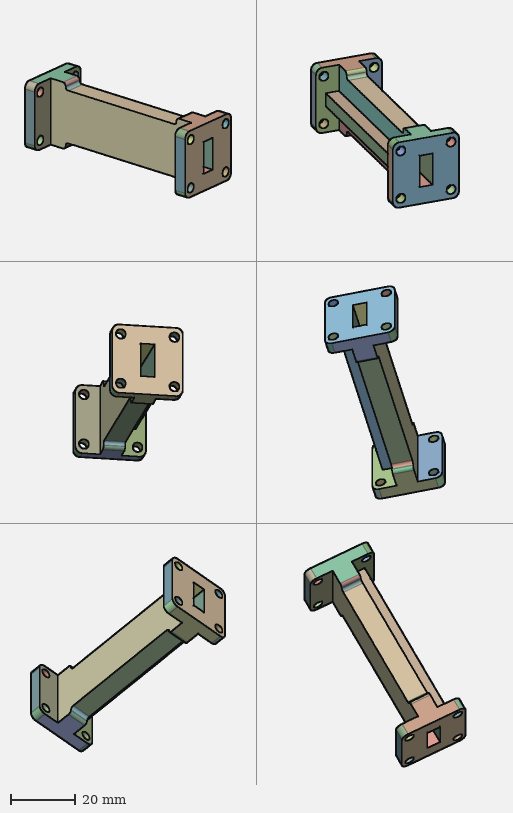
import cadquery as cq

length = 65.0
flange_size = 22.4
flange_thickness = 4.0
flange_corner_radius = 2.15
hole_diameter = 3.05
hole_spacing_y = 17.0
hole_spacing_z = 16.25

body_width = 6.8
waist_height = 17.8
end_block_length = 10.0
step_outer_radius = 1.1
step_inner_radius = 1.1

channel_width = 4.4
channel_height = 10.7

rib_size = 4.5


def make_flange(start_x):
    """Square flange with rounded corners and four bolt holes."""
    return (
        cq.Workplane("YZ", origin=(start_x, 0, 0))
        .rect(flange_size, flange_size)
        .extrude(flange_thickness)
        .edges("|X")
        .fillet(flange_corner_radius)
        .faces("<X")
        .workplane(centerOption="CenterOfBoundBox")
        .rect(hole_spacing_y, hole_spacing_z, forConstruction=True)
        .vertices()
        .hole(hole_diameter)
    )


def make_body():
    """Full-height bar between the flanges, relieved above and below its waist."""
    body = cq.Workplane("XY").box(length - 2 * flange_thickness, body_width, flange_size)
    relief_length = length - 2 * end_block_length
    relief_depth = (flange_size - waist_height) / 2
    relief_center_z = (waist_height + relief_depth) / 2
    for side in (-1, 1):
        relief = (
            cq.Workplane("XY")
            .box(relief_length, body_width, relief_depth)
            .translate((0, 0, side * relief_center_z))
        )
        body = body.cut(relief)

    step_x = relief_length / 2
    for corner_z, radius in (
        (waist_height / 2, step_inner_radius),
        (flange_size / 2, step_outer_radius),
    ):
        for x in (-step_x, step_x):
            for z in (-corner_z, corner_z):
                corner = cq.selectors.NearestToPointSelector((x, 0, z))
                body = body.edges("|Y").edges(corner).fillet(radius)
    return body


def make_rib():
    """Square bar joining the flanges behind the body."""
    rib_center_y = (body_width + rib_size) / 2
    return (
        cq.Workplane("XY")
        .box(length - 2 * flange_thickness, rib_size, rib_size)
        .translate((0, rib_center_y, 0))
    )


channel = cq.Workplane("XY").box(length, channel_width, channel_height)

result = (
    make_body()
    .union(make_rib())
    .union(make_flange(-length / 2))
    .union(make_flange(length / 2 - flange_thickness))
    .cut(channel)
)